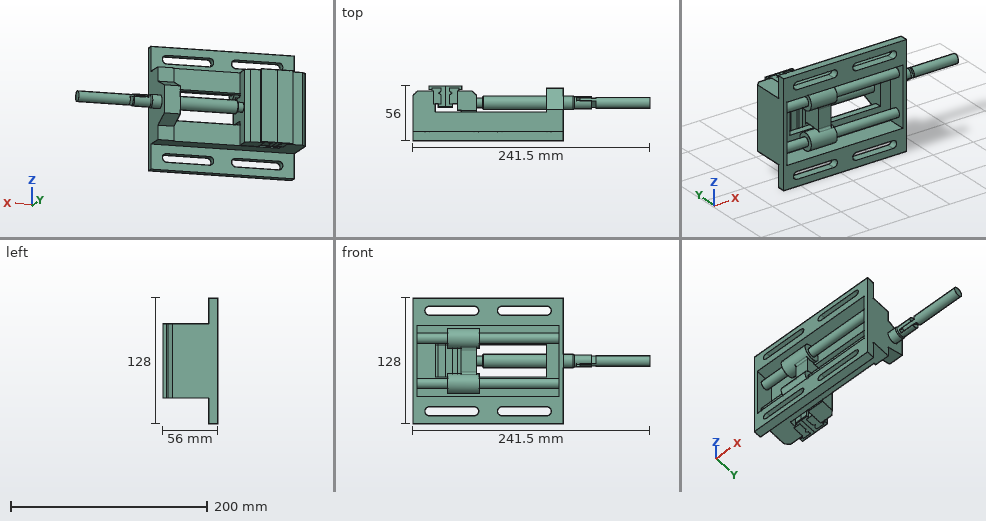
import cadquery as cq
import math

FLANGE_LENGTH = 153.0
FLANGE_HEIGHT = 128.0
FLANGE_THICKNESS = 9.5
MID_Z = FLANGE_HEIGHT / 2
BODY_HEIGHT = 75.8
DECK_Y = 29.7
MOUNT_SLOT_LENGTH = 54.5
MOUNT_SLOT_WIDTH = 9.0
MOUNT_SLOT_SPACING_X = 73.9
MOUNT_SLOT_SPACING_Z = 102.4
POCKET_START = 4.0
POCKET_END = 148.5
POCKET_HEIGHT = 72.2
POCKET_DEPTH = 21.7
SLIDE_SLOT_HEIGHT = 32.5

JAW_TOP = 51.0
JAW_CHAMFER = 4.5
FIXED_JAW_THICKNESS = 23.0
MOVING_JAW_THICKNESS = 19.5
MOVING_JAW_BOTTOM = DECK_Y + 1.5

GRIP_X = 33.0
PLATE_FRONT = 4.3
PLATE_BACK = 12.3
PLATE_LIP_BACK = 13.8
PLATE_BOTTOM = 37.7
PLATE_TOP = 53.8
NOTCH_Y = 48.8
NOTCH_DEPTH = 2.5
NOTCH_HALF_HEIGHT = 2.0
CAP_BACK = 17.0
CAP_TOP = 56.0
CAP_HOOK_BOTTOM = 52.5
CAP_FOOT_BACK = 7.5
CAP_FOOT_BOTTOM = 34.3
CAP_FOOT_END_CHAMFER = 0.7

BLOCK_LENGTH = 17.1
PAD_TOP = 32.0
LUG_TOP = 53.8
LUG_ROOT_HEIGHT = 45.9
LUG_SLOPE_ANGLE = 21.0

ROD_RADIUS = 5.3
ROD_Y = 11.3
ROD_SPACING = 45.9
SLEEVE_RADIUS = 10.1
SLEEVE_START = 35.2
SLEEVE_LENGTH = 32.3
NECK_LENGTH = 16.0
NECK_FRONT_Y = 8.2
NECK_HEIGHT = 25.0
NECK_FRONT_FILLET = 3.1
NECK_BACK_FILLET = 1.2
NECK_FLARE = 2.5

SCREW_Y = 38.9
SCREW_RADIUS = 7.0
SCREW_TIP_RADIUS = 5.0
SCREW_TIP_LENGTH = 6.0
SCREW_CHAMFER = 1.0
SCREW_END = 163.0
FORK_CONE_LENGTH = 1.5
FORK_RADIUS = 6.3
FORK_END = 182.0
FORK_SLOT_START = 166.5
TONGUE_START = 170.2
TONGUE_THICKNESS = 3.9
HANDLE_RADIUS = 5.5
HANDLE_START = 186.4
HANDLE_END = 241.5
TONGUE_TILT = 50.0

fixed_face_x = GRIP_X - PLATE_BACK
moving_face_x = GRIP_X + PLATE_BACK
moving_jaw_back_x = moving_face_x + MOVING_JAW_THICKNESS
body_bottom_z = MID_Z - BODY_HEIGHT / 2
rod_heights = [MID_Z - ROD_SPACING / 2, MID_Z + ROD_SPACING / 2]


def box(x0, x1, y0, y1, height):
    """Box between the given X and Y limits, centred on the middle height."""
    center = ((x0 + x1) / 2, (y0 + y1) / 2, MID_Z)
    return cq.Workplane("XY").box(x1 - x0, y1 - y0, height).translate(center)


def cylinder(x0, x1, y, z, radius):
    """Cylinder along X."""
    return cq.Workplane("YZ", origin=(x0, y, z)).circle(radius).extrude(x1 - x0)


def full_height_profile(points):
    """Closed XY outline extruded over the height of the raised body."""
    return cq.Workplane("XY", origin=(0, 0, body_bottom_z)).polyline(points).close().extrude(BODY_HEIGHT)


def mount_slots():
    centers = [
        (FLANGE_LENGTH / 2 + i * MOUNT_SLOT_SPACING_X / 2, MID_Z + j * MOUNT_SLOT_SPACING_Z / 2)
        for i in (-1, 1)
        for j in (-1, 1)
    ]
    slots = cq.Workplane("XZ").pushPoints(centers).slot2D(MOUNT_SLOT_LENGTH, MOUNT_SLOT_WIDTH)
    return slots.extrude(-FLANGE_THICKNESS)


def fixed_jaw():
    return full_height_profile([
        (0, DECK_Y),
        (FIXED_JAW_THICKNESS, DECK_Y),
        (FIXED_JAW_THICKNESS, PLATE_BOTTOM),
        (fixed_face_x, PLATE_BOTTOM),
        (fixed_face_x, JAW_TOP),
        (JAW_CHAMFER, JAW_TOP),
        (0, JAW_TOP - JAW_CHAMFER),
    ])


def screw_block():
    block_start = FLANGE_LENGTH - BLOCK_LENGTH
    root_half = LUG_ROOT_HEIGHT / 2
    top_half = root_half - (LUG_TOP - PAD_TOP) * math.tan(math.radians(LUG_SLOPE_ANGLE))
    lug_outline = [
        (PAD_TOP, -root_half),
        (LUG_TOP, -top_half),
        (LUG_TOP, top_half),
        (PAD_TOP, root_half),
    ]
    pad = box(block_start, FLANGE_LENGTH, DECK_Y, PAD_TOP, BODY_HEIGHT)
    lug = cq.Workplane("YZ", origin=(block_start, 0, MID_Z)).polyline(lug_outline).close()
    return pad.union(lug.extrude(BLOCK_LENGTH))


def make_base():
    block_start = FLANGE_LENGTH - BLOCK_LENGTH
    base = box(0, FLANGE_LENGTH, 0, FLANGE_THICKNESS, FLANGE_HEIGHT)
    base = base.union(box(0, FLANGE_LENGTH, 0, DECK_Y, BODY_HEIGHT))
    base = base.union(fixed_jaw()).union(screw_block())
    base = base.cut(mount_slots())
    base = base.cut(box(POCKET_START, POCKET_END, 0, POCKET_DEPTH, POCKET_HEIGHT))
    base = base.cut(box(FIXED_JAW_THICKNESS, block_start, POCKET_DEPTH, DECK_Y, SLIDE_SLOT_HEIGHT))
    base = base.cut(cylinder(block_start, FLANGE_LENGTH, SCREW_Y, MID_Z, SCREW_RADIUS))
    for z in rod_heights:
        base = base.union(cylinder(POCKET_START, POCKET_END, ROD_Y, z, ROD_RADIUS))
    return base


def sleeve_fillet_reach(offset, radius):
    """Offset from the sleeve axis, square to the given one, of a fillet centre touching the sleeve."""
    return math.sqrt((SLEEVE_RADIUS + radius) ** 2 - offset**2)


def neck(start_x):
    """Neck from the moving jaw through the base's slot, flared to the jaw and filleted to both sleeves."""
    rod_z = rod_heights[0]
    bottom_z = MID_Z - NECK_HEIGHT / 2
    front_share = SLEEVE_RADIUS / (SLEEVE_RADIUS + NECK_FRONT_FILLET)
    back_share = SLEEVE_RADIUS / (SLEEVE_RADIUS + NECK_BACK_FILLET)

    front_dy = NECK_FRONT_Y - NECK_FRONT_FILLET - ROD_Y
    front_dz = sleeve_fillet_reach(front_dy, NECK_FRONT_FILLET)
    back_dz = bottom_z - NECK_BACK_FILLET - rod_z
    back_dy = sleeve_fillet_reach(back_dz, NECK_BACK_FILLET)

    lower_half = (
        cq.Workplane("YZ", origin=(start_x, 0, 0))
        .moveTo(NECK_FRONT_Y, MID_Z)
        .lineTo(NECK_FRONT_Y, rod_z + front_dz)
        .radiusArc((ROD_Y + front_dy * front_share, rod_z + front_dz * front_share), NECK_FRONT_FILLET)
        .lineTo(ROD_Y, rod_z)
        .lineTo(ROD_Y + back_dy * back_share, rod_z + back_dz * back_share)
        .radiusArc((ROD_Y + back_dy, bottom_z), NECK_BACK_FILLET)
        .lineTo(MOVING_JAW_BOTTOM - NECK_FLARE, bottom_z)
        .radiusArc((MOVING_JAW_BOTTOM, bottom_z - NECK_FLARE), NECK_FLARE)
        .lineTo(MOVING_JAW_BOTTOM, MID_Z)
        .close()
        .extrude(NECK_LENGTH)
    )
    return lower_half.union(lower_half.mirror("XY", (0, 0, MID_Z)))


def make_moving_jaw():
    jaw = full_height_profile([
        (moving_face_x, MOVING_JAW_BOTTOM),
        (moving_jaw_back_x, MOVING_JAW_BOTTOM),
        (moving_jaw_back_x, JAW_TOP - JAW_CHAMFER),
        (moving_jaw_back_x - JAW_CHAMFER, JAW_TOP),
        (moving_face_x, JAW_TOP),
    ])
    jaw = jaw.union(neck(moving_jaw_back_x - NECK_LENGTH))
    sleeve_end = SLEEVE_START + SLEEVE_LENGTH
    for z in rod_heights:
        jaw = jaw.union(cylinder(SLEEVE_START, sleeve_end, ROD_Y, z, SLEEVE_RADIUS))
    for z in rod_heights:
        jaw = jaw.cut(cylinder(SLEEVE_START, sleeve_end, ROD_Y, z, ROD_RADIUS))
    return jaw


def make_jaw_plate(side):
    """Grip plate with a V notch; side is -1 at the fixed jaw and +1 at the moving jaw."""
    outline = [
        (PLATE_FRONT, PLATE_BOTTOM),
        (PLATE_BACK, PLATE_BOTTOM),
        (PLATE_BACK, JAW_TOP),
        (PLATE_LIP_BACK, JAW_TOP),
        (PLATE_LIP_BACK, PLATE_TOP),
        (PLATE_FRONT, PLATE_TOP),
        (PLATE_FRONT, NOTCH_Y + NOTCH_HALF_HEIGHT),
        (PLATE_FRONT + NOTCH_DEPTH, NOTCH_Y),
        (PLATE_FRONT, NOTCH_Y - NOTCH_HALF_HEIGHT),
    ]
    return full_height_profile([(GRIP_X + side * x, y) for x, y in outline])


def make_jaw_cap(side):
    """Soft cap hooked over a jaw plate, with a rib that fills the plate's V notch."""
    outline = [
        (0, CAP_FOOT_BOTTOM),
        (CAP_FOOT_BACK, CAP_FOOT_BOTTOM),
        (CAP_FOOT_BACK, PLATE_BOTTOM),
        (PLATE_FRONT, PLATE_BOTTOM),
        (PLATE_FRONT, NOTCH_Y - NOTCH_HALF_HEIGHT),
        (PLATE_FRONT + NOTCH_DEPTH, NOTCH_Y),
        (PLATE_FRONT, NOTCH_Y + NOTCH_HALF_HEIGHT),
        (PLATE_FRONT, PLATE_TOP),
        (PLATE_LIP_BACK, PLATE_TOP),
        (PLATE_LIP_BACK, CAP_HOOK_BOTTOM),
        (CAP_BACK, CAP_HOOK_BOTTOM),
        (CAP_BACK, CAP_TOP),
        (0, CAP_TOP),
    ]
    cap = full_height_profile([(GRIP_X + side * x, y) for x, y in outline])
    return cap.faces("<Y").edges("|X").chamfer(CAP_FOOT_END_CHAMFER)


def tilt_about_screw(body):
    return body.rotate((0, SCREW_Y, MID_Z), (1, SCREW_Y, MID_Z), TONGUE_TILT)


def make_screw():
    """Screw turned about X, with a slotted fork at its outer end."""
    tip_end = moving_jaw_back_x + SCREW_TIP_LENGTH
    outline = [
        (moving_jaw_back_x, 0),
        (moving_jaw_back_x, SCREW_TIP_RADIUS),
        (tip_end, SCREW_TIP_RADIUS),
        (tip_end, SCREW_RADIUS - SCREW_CHAMFER),
        (tip_end + SCREW_CHAMFER, SCREW_RADIUS),
        (SCREW_END, SCREW_RADIUS),
        (SCREW_END + FORK_CONE_LENGTH, FORK_RADIUS),
        (FORK_END, FORK_RADIUS),
        (FORK_END, 0),
    ]
    turned = cq.Workplane("XY", origin=(0, SCREW_Y, MID_Z)).polyline(outline).close()
    screw = turned.revolve(360, (0, 0, 0), (1, 0, 0))
    fork_slot = box(FORK_SLOT_START, FORK_END, SCREW_Y - SCREW_RADIUS, SCREW_Y + SCREW_RADIUS, TONGUE_THICKNESS)
    return tilt_about_screw(screw.cut(fork_slot))


def make_handle():
    """Round handle whose flat tongue sits in the screw's fork."""
    grip = cylinder(HANDLE_START, HANDLE_END, SCREW_Y, MID_Z, HANDLE_RADIUS)
    rod = cylinder(TONGUE_START, HANDLE_START, SCREW_Y, MID_Z, HANDLE_RADIUS)
    slab = box(TONGUE_START, HANDLE_START, SCREW_Y - SCREW_RADIUS, SCREW_Y + SCREW_RADIUS, TONGUE_THICKNESS)
    tongue = rod.intersect(slab)
    return tilt_about_screw(grip.union(tongue))


base = make_base()
moving_jaw = make_moving_jaw()
jaw_plates = [make_jaw_plate(side) for side in (-1, 1)]
jaw_caps = [make_jaw_cap(side) for side in (-1, 1)]
screw = make_screw()
handle = make_handle()

result = cq.Compound.makeCompound([
    base.val(),
    moving_jaw.val(),
    *[plate.val() for plate in jaw_plates],
    *[cap.val() for cap in jaw_caps],
    screw.val(),
    handle.val(),
])